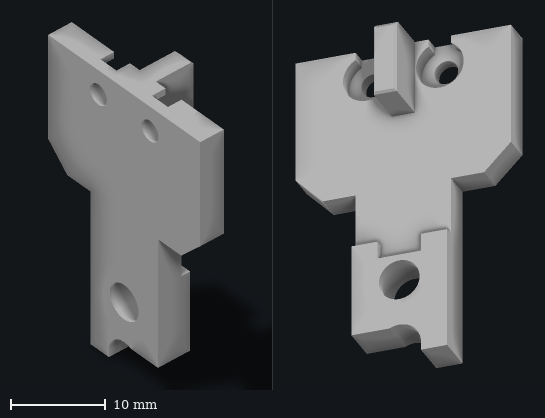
import cadquery as cq
import math

height = 37.45
depth = 8.81
plate_thickness = 3.3

head_width = 24.35
head_height = 17.0
head_corner = 3.05

shank_width = 10.82
foot_thickness = 4.5
foot_height = 13.8
shank_hole_diameter = 4.6
shank_hole_height = 8.8

relief_radius = 2.45
relief_centre_height = 1.0
relief_step_height = 3.2

notch_width = 2 * relief_radius
notch_depth = 2.0

screw_diameter = 2.7
screw_spacing = 8.25
screw_inset = 3.25
recess_diameter = 5.4
slot_width = 2.55
screw_web = 1.4

rib_width = 2.6
rib_height = 8.4
rib_edge_chamfer = 0.25
rib_top_chamfer = 0.6


def box(x_min, x_max, y_min, y_max, z_min, z_max):
    """Axis-aligned block between the given limits."""
    size = (x_max - x_min, y_max - y_min, z_max - z_min)
    return cq.Workplane("XY").box(*size, centered=False).translate((x_min, y_min, z_min))


def y_cylinder(x, z, diameter, y_min, y_max):
    """Cylinder along Y between two depths."""
    plane = cq.Workplane("XZ", origin=(x, y_min, z))
    return plane.circle(diameter / 2).extrude(y_min - y_max)


def head():
    """Plate with its two lower corners cut off."""
    plate = box(-head_width / 2, head_width / 2, 0, plate_thickness, height - head_height, height)
    return plate.edges("|Y and <Z").chamfer(head_corner)


def rib():
    """Upright rib with a wide chamfer on its top back edge and narrow ones on the other back edges."""
    block = box(-rib_width / 2, rib_width / 2, 0, depth, height - rib_height, height)
    block = block.edges(">Y and >Z").chamfer(rib_top_chamfer)
    return block.faces(">Y").edges("|Z or <Z").chamfer(rib_edge_chamfer)


def shank():
    """Shank with a thick foot, a cross hole, a notch and a rounded relief at the lower end."""
    half_width = shank_width / 2
    body = box(-half_width, half_width, 0, plate_thickness, 0, height - head_height)
    body = body.union(box(-half_width, half_width, 0, foot_thickness, 0, foot_height))
    body = body.cut(y_cylinder(0, shank_hole_height, shank_hole_diameter, 0, foot_thickness))
    body = body.cut(relief())
    notch_bottom = foot_height - notch_depth
    return body.cut(
        box(-notch_width / 2, notch_width / 2, plate_thickness, foot_thickness, notch_bottom, foot_height)
    )


def relief():
    """Cutter for the open lower corner: a straight side, an arc over the top and a flat step."""
    step_rise = relief_step_height - relief_centre_height
    arc_end_x = math.sqrt(relief_radius**2 - step_rise**2)
    return (
        cq.Workplane("XZ")
        .moveTo(-relief_radius, 0)
        .lineTo(-relief_radius, relief_centre_height)
        .threePointArc((0, relief_centre_height + relief_radius), (arc_end_x, relief_step_height))
        .lineTo(shank_width / 2, relief_step_height)
        .lineTo(shank_width / 2, 0)
        .close()
        .extrude(-foot_thickness)
    )


def screw_cut(x):
    """Cutter for one screw hole, the recess behind it and the slot from the recess to the top edge."""
    z = height - screw_inset
    hole = y_cylinder(x, z, screw_diameter, 0, plate_thickness)
    recess = y_cylinder(x, z, recess_diameter, screw_web, plate_thickness)
    slot = box(x - slot_width / 2, x + slot_width / 2, screw_web, plate_thickness, z, height)
    return hole.union(recess).union(slot)


result = head().union(shank()).union(rib())
for side in (-1, 1):
    result = result.cut(screw_cut(side * screw_spacing / 2))